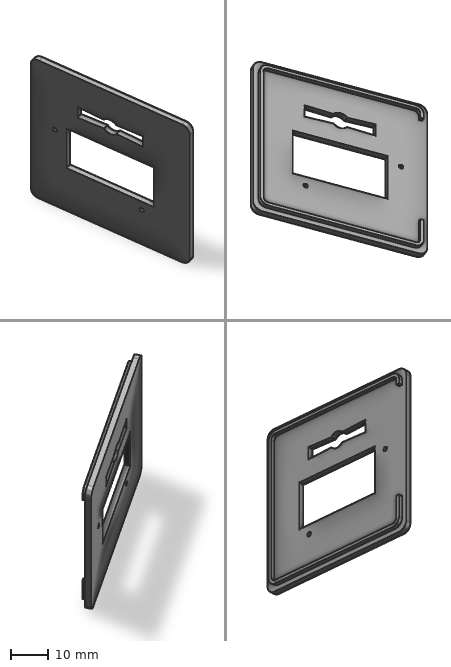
import cadquery as cq

plate_side = 50.8
total_depth = 2.9
plate_depth = 1.75
corner_radius = 2.6

rim_inset = 1.5
rim_side = plate_side - 2 * rim_inset
rim_corner_radius = 2.45
rim_wall = 1.0
rim_depth = total_depth - plate_depth

gap_bottom = -14.65
gap_top = 20.0

window_left = -13.9
window_right = 13.8
window_bottom = -9.65
window_top = 4.95

slot_center_z = 12.7
slot_half_length = 10.4
slot_end_half_height = 1.95
slot_waist_half_height = 1.5
slot_hole_radius = 2.55

screw_hole_diameter = 1.3
screw_hole_centers = [(-17.75, 2.55), (10.1, -12.7)]


def rounded_square(side, radius, depth, front_y):
    """Square slab with rounded corners, extending from front_y towards +Y."""
    slab = cq.Workplane("XZ", origin=(0, front_y, 0)).rect(side, side).extrude(-depth)
    return slab.edges("|Y").fillet(radius)


def make_rim():
    outer = rounded_square(rim_side, rim_corner_radius, rim_depth, plate_depth)
    inner = rounded_square(
        rim_side - 2 * rim_wall, rim_corner_radius - rim_wall, rim_depth, plate_depth
    )
    gap = cq.Workplane("XY").box(rim_wall, rim_depth, gap_top - gap_bottom, centered=False)
    gap = gap.translate((-rim_side / 2, plate_depth, gap_bottom))
    return outer.cut(inner).cut(gap)


def make_window():
    window = cq.Workplane("XY").box(
        window_right - window_left, plate_depth, window_top - window_bottom, centered=False
    )
    return window.translate((window_left, 0, window_bottom))


def make_slot():
    plane = cq.Workplane("XZ", origin=(0, 0, slot_center_z))
    bow_tie = (
        plane.moveTo(-slot_half_length, -slot_end_half_height)
        .lineTo(0, -slot_waist_half_height)
        .lineTo(slot_half_length, -slot_end_half_height)
        .lineTo(slot_half_length, slot_end_half_height)
        .lineTo(0, slot_waist_half_height)
        .lineTo(-slot_half_length, slot_end_half_height)
        .close()
        .extrude(-plate_depth)
    )
    return bow_tie.union(plane.circle(slot_hole_radius).extrude(-plate_depth))


def make_screw_holes():
    centers = cq.Workplane("XZ").pushPoints(screw_hole_centers)
    return centers.circle(screw_hole_diameter / 2).extrude(-plate_depth)


plate = rounded_square(plate_side, corner_radius, plate_depth, 0)
plate = plate.cut(make_window()).cut(make_slot()).cut(make_screw_holes())
result = plate.union(make_rim())